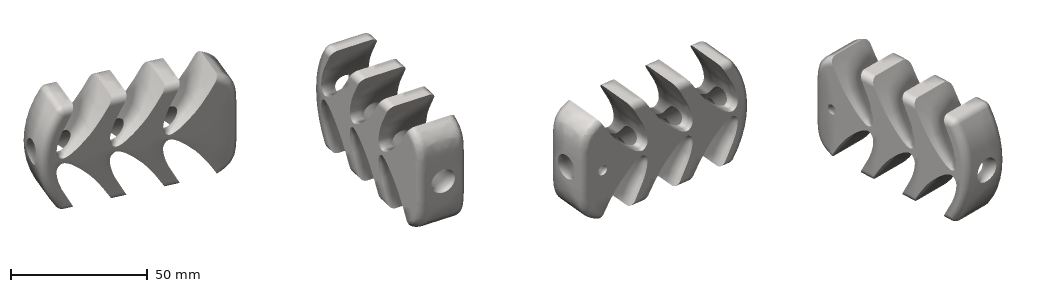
import cadquery as cq
import math

width = 20.0
length = 77.6
height = 45.0
tail_y = length / 2
nose_y = -length / 2
half_height = height / 2

tail_flat_half = 6.8
tail_shoulder = (35.9, 18.8)
tail_top_y = 29.5
tail_top_slope = 0.35
nose_radius = 36.95
nose_corner_radius = 3.0
edge_radius = 3.0

slot_count = 3
slot_pitch = 20.95
first_rib_y = 16.3
slot_mouth = 15.0
spine_half = 1.1
tip_offset = -5.0
mouth_clearance = 3.9

bore_diameter = 10.0
pin_diameter = 4.1
pin_y = 29.9


def make_body():
    """Rounded block, extruded across X, before the slots are cut."""
    nose_center_y = nose_y + nose_radius
    nose_top_y = nose_center_y - math.sqrt(nose_radius**2 - half_height**2)
    shoulder_y, shoulder_z = tail_shoulder

    body = (
        cq.Workplane("YZ", origin=(-width / 2, 0, 0))
        .moveTo(tail_y, -tail_flat_half)
        .lineTo(tail_y, tail_flat_half)
        .spline(
            [tail_shoulder, (tail_top_y, half_height)],
            tangents=[(0, 1), (-1, tail_top_slope)],
            includeCurrent=True,
        )
        .lineTo(nose_top_y, half_height)
        .threePointArc((nose_y, 0), (nose_top_y, -half_height))
        .lineTo(tail_top_y, -half_height)
        .spline(
            [(shoulder_y, -shoulder_z), (tail_y, -tail_flat_half)],
            tangents=[(1, tail_top_slope), (0, 1)],
            includeCurrent=True,
        )
        .close()
        .extrude(width)
    )
    nose_corners = cq.selectors.BoxSelector(
        (-width, nose_top_y - 0.8, -height), (width, nose_top_y + 0.8, height)
    )
    body = body.edges("|X").edges(nose_corners).fillet(nose_corner_radius)
    return body.faces("<X or >X").edges().fillet(edge_radius)


def make_slot(rib_y):
    """Upper slot: a long flank toward the tail and a hooked flank on the rib."""
    mouth_y = rib_y + slot_mouth
    tip = (rib_y + tip_offset, spine_half)
    long_flank = [(rib_y + 6.7, 9.9), (rib_y + 0.2, 3.65), (rib_y - 3.3, 1.4), tip]
    rib_flank = [
        (rib_y - 7.0, 2.9),
        (rib_y - 7.2, 5.7),
        (rib_y - 6.1, 10.2),
        (rib_y - 3.25, 16.3),
        (rib_y, half_height),
    ]
    top_z = half_height + mouth_clearance
    return (
        cq.Workplane("YZ", origin=(-width, 0, 0))
        .moveTo(mouth_y, half_height)
        .spline(long_flank + rib_flank, includeCurrent=True)
        .lineTo(rib_y, top_z)
        .lineTo(mouth_y, top_z)
        .close()
        .extrude(2 * width)
    )


result = make_body()

for index in range(slot_count):
    slot = make_slot(first_rib_y - index * slot_pitch)
    result = result.cut(slot).cut(slot.mirror("XY"))

bore = cq.Workplane("XZ").circle(bore_diameter / 2).extrude(length, both=True)
result = result.cut(bore)

pin_hole = cq.Workplane("YZ").center(pin_y, 0).circle(pin_diameter / 2).extrude(-width)
result = result.cut(pin_hole)